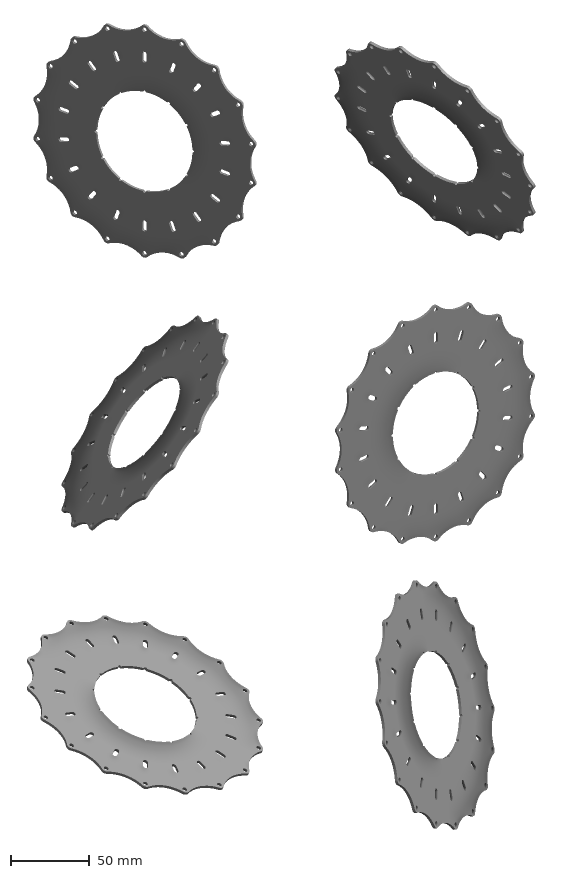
import cadquery as cq
import math

thickness = 2.0
outer_radius = 80.5

ear_count = 18
ear_step = 360 / ear_count
ear_radius = 3.0
ear_circle_radius = outer_radius - ear_radius
ear_hole_diameter = 3.0
scallop_radius = 22.4

slot_length = 7.5
slot_width = 3.0
slot_circle_radius = 58.5

bore_radius = 34.5
notch_count = 12
notch_radius = 1.0
notch_circle_radius = 34.6


def polar(radius, angle):
    """Point at a radius and an angle in degrees, measured from +Z towards +X."""
    turn = math.radians(angle)
    return (radius * math.sin(turn), radius * math.cos(turn))


def ring(count, radius):
    """Equally spaced points on a circle, the first one on +Z."""
    return [polar(radius, i * 360 / count) for i in range(count)]


def sketch_plane():
    """Back face of the plate; extruding from it runs towards -Y."""
    return cq.Workplane("XZ", origin=(0, thickness / 2, 0))


def through_plate(sketch):
    """Solid through the full plate thickness."""
    return sketch.extrude(thickness)


def plate():
    half_step = math.radians(ear_step / 2)
    ear_offset = ear_circle_radius * math.sin(half_step)
    ear_height = ear_circle_radius * math.cos(half_step)
    scallop_height = math.sqrt((scallop_radius + ear_radius) ** 2 - ear_offset**2)
    scallop_circle_radius = ear_height + scallop_height
    valley_radius = scallop_circle_radius - scallop_radius

    scallop_x, scallop_z = polar(scallop_circle_radius, ear_step / 2)
    share = ear_radius / (ear_radius + scallop_radius)
    tangent_x = share * scallop_x
    tangent_z = ear_circle_radius + share * (scallop_z - ear_circle_radius)
    tangent_radius = math.hypot(tangent_x, tangent_z)
    tangent_angle = math.degrees(math.atan2(tangent_x, tangent_z))

    outline = sketch_plane().moveTo(*polar(tangent_radius, -tangent_angle))
    for i in range(ear_count):
        angle = i * ear_step
        ear_end = polar(tangent_radius, angle + tangent_angle)
        scallop_end = polar(tangent_radius, angle + ear_step - tangent_angle)
        outline = outline.threePointArc(polar(outer_radius, angle), ear_end)
        outline = outline.threePointArc(polar(valley_radius, angle + ear_step / 2), scallop_end)
    return through_plate(outline.close())


def ear_holes():
    spots = sketch_plane().pushPoints(ring(ear_count, ear_circle_radius))
    return through_plate(spots.circle(ear_hole_diameter / 2))


def slots():
    start_angle = 90
    spots = sketch_plane().polarArray(slot_circle_radius, start_angle, 360, ear_count)
    return through_plate(spots.slot2D(slot_length, slot_width))


def notched_bore():
    bore = through_plate(sketch_plane().circle(bore_radius))
    spots = sketch_plane().pushPoints(ring(notch_count, notch_circle_radius))
    notches = through_plate(spots.circle(notch_radius))
    return bore.union(notches)


result = plate().cut(ear_holes()).cut(slots()).cut(notched_bore())